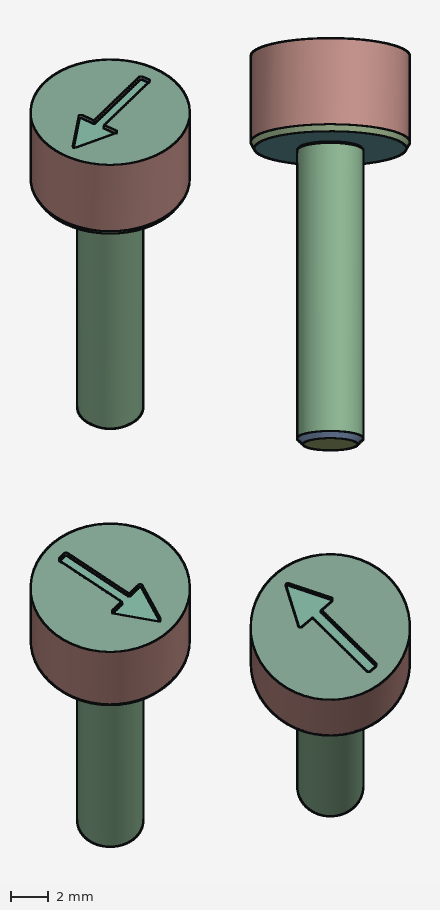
import cadquery as cq

total_height = 21.0
head_diameter = 8.4
head_height = 5.0
shank_diameter = 3.5
shank_length = total_height - head_height

head_chamfer_height = 0.34
head_chamfer_width = 0.19
tip_chamfer = 0.32
neck_chamfer = 0.1

arrow_depth = 0.19
arrow_shaft_width = 0.65
arrow_head_width = 2.56
arrow_tail_y = 3.3
arrow_shoulder_y = -1.03
arrow_tip_y = -3.55
arrow_corner_radius = 0.13
arrow_wall_taper = 15.0


def make_pin():
    """Revolve the half profile of the head and shank about Z."""
    head_radius = head_diameter / 2
    shank_radius = shank_diameter / 2
    return (
        cq.Workplane("XZ")
        .moveTo(0, 0)
        .lineTo(shank_radius - tip_chamfer, 0)
        .lineTo(shank_radius, tip_chamfer)
        .lineTo(shank_radius, shank_length - neck_chamfer)
        .lineTo(shank_radius - neck_chamfer, shank_length)
        .lineTo(head_radius - head_chamfer_width, shank_length)
        .lineTo(head_radius, shank_length + head_chamfer_height)
        .lineTo(head_radius, total_height)
        .lineTo(0, total_height)
        .close()
        .revolve(360, (0, 0), (0, 1))
    )


def make_arrow():
    """Solid filling the engraved arrow, narrowing toward its floor."""
    half_shaft = arrow_shaft_width / 2
    half_head = arrow_head_width / 2
    right_side = [
        (half_shaft, arrow_tail_y),
        (half_shaft, arrow_shoulder_y),
        (half_head, arrow_shoulder_y),
    ]
    left_side = [(-x, y) for x, y in reversed(right_side)]
    outline = right_side + [(0, arrow_tip_y)] + left_side
    rounded_corners = "(>Y or <Y) or (>X or <X)"
    sketch = (
        cq.Sketch()
        .polygon(outline + outline[:1])
        .vertices(rounded_corners)
        .fillet(arrow_corner_radius)
    )
    return (
        cq.Workplane("XY", origin=(0, 0, total_height))
        .placeSketch(sketch)
        .extrude(-arrow_depth, taper=arrow_wall_taper)
    )


result = make_pin().cut(make_arrow())